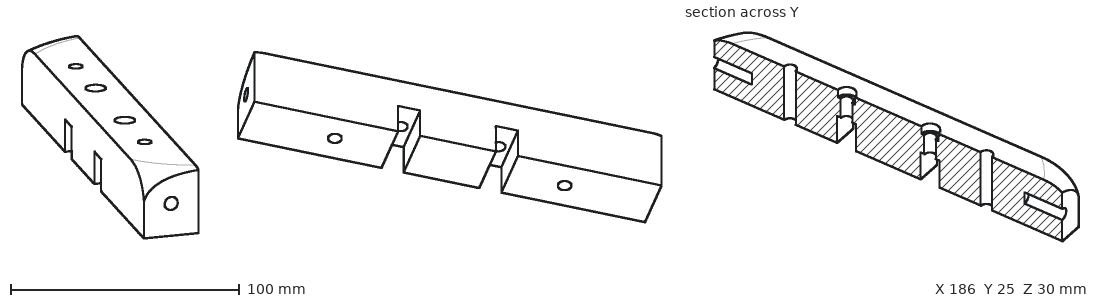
import cadquery as cq

LENGTH = 186.0
WIDTH = 25.0
HEIGHT = 30.0

CORNER_FILLET = 15.0
CORNER_ARC_RADIUS = 50.0
ARC_CENTER_FROM_END = 53.0
ARC_CENTER_FROM_FRONT = 37.5

SLOT_WIDTH = 10.0
SLOT_DEPTH = HEIGHT / 2
SLOT_OFFSET = 22.3
HOLE_DIAMETER = 6.0
COUNTERBORE_DIAMETER = 9.0
COUNTERBORE_DEPTH = 4.0

OUTER_HOLE_OFFSET = 52.5
END_HOLE_DEPTH = 20.0
END_HOLE_HEIGHT = HEIGHT / 2


def corner_cutter():
    """Material to remove from the left front corner, leaving a curved fillet."""
    outer_radius = CORNER_ARC_RADIUS + CORNER_FILLET
    fillet_center = (CORNER_ARC_RADIUS, HEIGHT - CORNER_FILLET)
    arc_reach = CORNER_FILLET / 2 ** 0.5
    arc_middle = (fillet_center[0] + arc_reach, fillet_center[1] + arc_reach)
    cutter = (
        cq.Workplane("XZ")
        .moveTo(CORNER_ARC_RADIUS, HEIGHT)
        .lineTo(outer_radius, HEIGHT)
        .lineTo(outer_radius, HEIGHT - CORNER_FILLET)
        .threePointArc(arc_middle, (CORNER_ARC_RADIUS, HEIGHT))
        .close()
        .revolve(90, (0, 0), (0, 1))
    )
    center_x = ARC_CENTER_FROM_END - LENGTH / 2
    center_y = ARC_CENTER_FROM_FRONT - WIDTH / 2
    return cutter.rotate((0, 0, 0), (0, 0, 1), 180).translate((center_x, center_y, 0))


def drill_top(body, offset):
    """Counterbored hole from the top face, centred over a slot."""
    return (
        body.faces(">Z")
        .workplane(origin=(offset, 0, HEIGHT))
        .cboreHole(HOLE_DIAMETER, COUNTERBORE_DIAMETER, COUNTERBORE_DEPTH)
    )


result = cq.Workplane("XY").box(LENGTH, WIDTH, HEIGHT, centered=(True, True, False))

left_corner = corner_cutter()
result = result.cut(left_corner).cut(left_corner.mirror("YZ"))

for side in (-1, 1):
    slot = cq.Workplane("XY").box(SLOT_WIDTH, WIDTH, SLOT_DEPTH, centered=(True, True, False))
    result = result.cut(slot.translate((side * SLOT_OFFSET, 0, 0)))
    result = drill_top(result, side * SLOT_OFFSET)

    outer_hole = cq.Workplane("XY").circle(HOLE_DIAMETER / 2).extrude(HEIGHT)
    result = result.cut(outer_hole.translate((side * OUTER_HOLE_OFFSET, 0, 0)))

    end_plane = cq.Workplane("YZ", origin=(side * LENGTH / 2, 0, END_HOLE_HEIGHT))
    result = result.cut(end_plane.circle(HOLE_DIAMETER / 2).extrude(-side * END_HOLE_DEPTH))